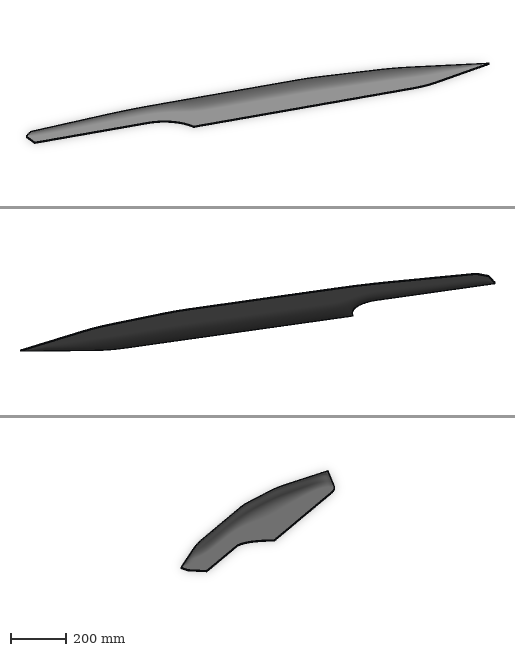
import cadquery as cq
import math

length = 1824.0
width = 255.0
thickness = 4.4

tip_x = 153.0
right_shoulder_y = 1520.0
left_tip_corner = (44.0, 1494.0)
left_shoulder_y = 1171.0
right_shoulder_radius = 328.0
left_blend_radius = 657.0

handle_right_x = 148.0
taper_start_y = 450.0
taper_blend_radius = 1824.0
handle_end_left_x = 44.0
end_chamfer = 35.0

notch_radius = 131.0
notch_start_y = 456.0
notch_center_x = handle_right_x + notch_radius


def notch_point(x):
    """Point on the concave arc at the given x."""
    rise = math.sqrt(notch_radius**2 - (notch_center_x - x) ** 2)
    return (x, notch_start_y + rise)


def round_corner(plate, corner, radius):
    """Round the upright plate edge standing at an outline corner."""
    x, y = corner
    reach = 2.0
    corner_box = cq.selectors.BoxSelector(
        (x - reach, y - reach, -thickness),
        (x + reach, y + reach, 2 * thickness),
    )
    return plate.edges("|Z").edges(corner_box).fillet(radius)


right_shoulder = (width, right_shoulder_y)
left_shoulder = (0, left_shoulder_y)
taper_start = (0, taper_start_y)
notch_middle_x = handle_right_x + (width - handle_right_x) / 3

result = (
    cq.Workplane("XY")
    .moveTo(handle_end_left_x + end_chamfer, 0)
    .lineTo(handle_right_x, 0)
    .lineTo(handle_right_x, notch_start_y)
    .threePointArc(notch_point(notch_middle_x), notch_point(width))
    .lineTo(*right_shoulder)
    .lineTo(tip_x, length)
    .lineTo(*left_tip_corner)
    .lineTo(*left_shoulder)
    .lineTo(*taper_start)
    .lineTo(handle_end_left_x, end_chamfer)
    .close()
    .extrude(thickness)
)

result = round_corner(result, right_shoulder, right_shoulder_radius)
result = round_corner(result, left_tip_corner, left_blend_radius)
result = round_corner(result, left_shoulder, left_blend_radius)
result = round_corner(result, taper_start, taper_blend_radius)